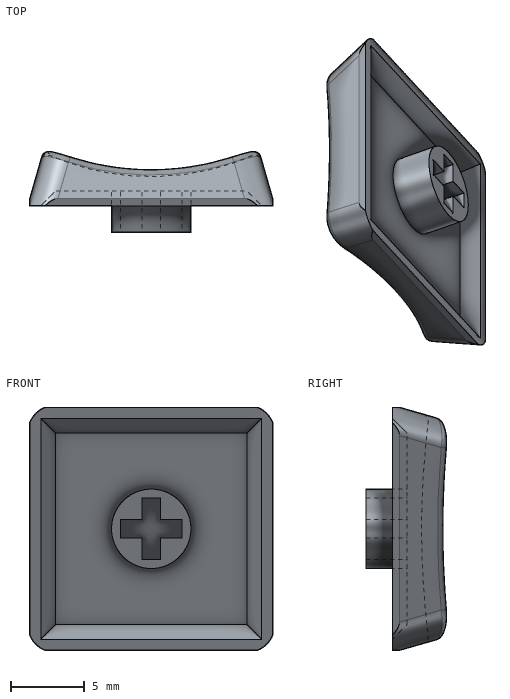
import cadquery as cq
import math

side = 16.5
lip_height = 0.5
draft_angle = 16.0
blank_height = 4.95
corner_radius = 2.0

dish_center_height = 1.98
dish_radius_x = 17.16
dish_radius_z = 57.75
dish_edge_fillet = 0.5
dish_cutter_overhang = 1.65

cavity_depth = 1.0
cavity_opening = 15.0
cavity_floor = cavity_opening - 2 * cavity_depth

stem_diameter = 5.4
stem_projection = 1.8
cross_span = 4.19
cross_arm_width = 1.25
cross_depth = stem_projection + cavity_depth


def plane_at(height):
    """Workplane across the cap at a given Y, with its normal toward +Y."""
    return cq.Workplane(cq.Plane(origin=(0, height, 0), xDir=(1, 0, 0), normal=(0, 1, 0)))


def make_blank():
    """Drafted block with rounded corners, trimmed square to leave an upright lip."""
    base_side = side + 2 * lip_height * math.tan(math.radians(draft_angle))
    drafted = plane_at(0).rect(base_side, base_side).extrude(blank_height, taper=draft_angle)
    slanted_corners = drafted.edges("not(#Y)")
    rounded = slanted_corners.fillet(corner_radius)
    return rounded.intersect(plane_at(0).rect(side, side).extrude(blank_height))


def make_dish_cutter():
    """Barrel of revolution about an X-parallel axis, lowest at the cap center."""
    half_length = side / 2 + dish_cutter_overhang
    end_rise = dish_radius_x - math.sqrt(dish_radius_x**2 - half_length**2)
    end_height = dish_center_height + end_rise
    axis_height = dish_center_height + dish_radius_z
    return (
        cq.Workplane("XY")
        .moveTo(-half_length, axis_height)
        .lineTo(-half_length, end_height)
        .threePointArc((0, dish_center_height), (half_length, end_height))
        .lineTo(half_length, axis_height)
        .close()
        .revolve(360, (0, axis_height, 0), (1, axis_height, 0))
    )


def make_cavity():
    """Shallow square recess that narrows toward its floor."""
    return (
        plane_at(0)
        .rect(cavity_opening, cavity_opening)
        .workplane(offset=cavity_depth)
        .rect(cavity_floor, cavity_floor)
        .loft(ruled=True)
    )


def make_stem():
    """Round post from the cavity floor with a cross-shaped socket in its end."""
    stem_end = plane_at(-stem_projection)
    post = stem_end.circle(stem_diameter / 2).extrude(stem_projection + cavity_depth)
    wide_slot = stem_end.rect(cross_span, cross_arm_width).extrude(cross_depth)
    tall_slot = stem_end.rect(cross_arm_width, cross_span).extrude(cross_depth)
    return post.cut(wide_slot).cut(tall_slot)


cap = make_blank().cut(make_dish_cutter())
dish_face = cap.faces(cq.selectors.NearestToPointSelector((0, dish_center_height, 0)))
cap = dish_face.edges().fillet(dish_edge_fillet)
result = cap.cut(make_cavity()).union(make_stem())